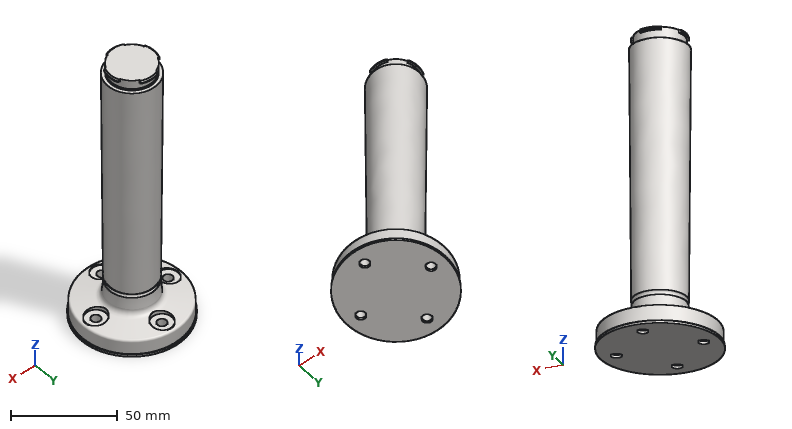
import cadquery as cq
import math

pad_top = 1.5
base_top = 22.0
tube_top = 153.0
overall_height = 159.3

pad_diameter = 61.0

flange_bottom_radius = 60.0 / 2
flange_top_radius = 30.0
flange_corner_radius = 1.3
cone_outer_radius = flange_top_radius - flange_corner_radius
cone_outer_height = 9.9
flange_side_top = cone_outer_height - flange_corner_radius
cone_inner_radius = 17.4
cone_inner_height = 11.5
neck_bottom_radius = 14.2
neck_bottom_height = 15.3
neck_top_radius = 13.5
neck_hollow = 0.08

screw_count = 4
screw_circle_radius = 22.0
screw_hole_diameter = 5.3
counterbore_diameter = 12.1
counterbore_floor = 9.4

tube_bottom_radius = 13.7
tube_top_radius = 14.7
groove_top = 24.4
groove_floor_radius = 12.9
groove_floor_height = 23.0

cap_diameter = 25.3
relief_diameter = 25.0
relief_height = 0.5
collar_height = 0.5
tab_width = 10.4
tab_thickness = 1.6
tab_radius = 27.5 / 2
tab_bevel_width = 0.5
tab_bevel_height = 1.1


def arc_point(start, end, bulge):
    """Midpoint of the chord from start to end, moved by bulge to the left of the chord."""
    run = end[0] - start[0]
    rise = end[1] - start[1]
    length = math.hypot(run, rise)
    middle_x = (start[0] + end[0]) / 2 - bulge * rise / length
    middle_z = (start[1] + end[1]) / 2 + bulge * run / length
    return (middle_x, middle_z)


def quarter_bulge(start, end):
    """Bulge of a quarter-circle arc between two points."""
    chord = math.hypot(end[0] - start[0], end[1] - start[1])
    return chord / 2 * math.tan(math.pi / 8)


def spin(profile):
    """Solid of revolution about Z from a profile of radius and height."""
    return profile.close().revolve(360, (0, 0, 0), (0, 1, 0))


def drill_screws(body, diameter, floor):
    """Cut the ring of round holes upward from the floor height."""
    cutter = (
        cq.Workplane("XY", origin=(0, 0, floor))
        .polarArray(screw_circle_radius, 0, 360, screw_count)
        .circle(diameter / 2)
        .extrude(base_top)
    )
    return body.cut(cutter)


def make_pad():
    disc = cq.Workplane("XY").circle(pad_diameter / 2).extrude(pad_top)
    return drill_screws(disc, screw_hole_diameter, 0)


def make_base():
    side_top = (flange_top_radius, flange_side_top)
    cone_outer = (cone_outer_radius, cone_outer_height)
    cone_inner = (cone_inner_radius, cone_inner_height)
    neck_bottom = (neck_bottom_radius, neck_bottom_height)
    neck_top = (neck_top_radius, base_top)
    corner_bulge = -quarter_bulge(side_top, cone_outer)
    fillet_bulge = quarter_bulge(cone_inner, neck_bottom)
    profile = (
        cq.Workplane("XZ")
        .moveTo(0, pad_top)
        .lineTo(flange_bottom_radius, pad_top)
        .lineTo(*side_top)
        .threePointArc(arc_point(side_top, cone_outer, corner_bulge), cone_outer)
        .lineTo(*cone_inner)
        .threePointArc(arc_point(cone_inner, neck_bottom, fillet_bulge), neck_bottom)
        .threePointArc(arc_point(neck_bottom, neck_top, neck_hollow), neck_top)
        .lineTo(0, base_top)
    )
    body = drill_screws(spin(profile), screw_hole_diameter, 0)
    return drill_screws(body, counterbore_diameter, counterbore_floor)


def make_tube():
    profile = (
        cq.Workplane("XZ")
        .moveTo(0, base_top)
        .lineTo(neck_top_radius, base_top)
        .threePointArc(
            (groove_floor_radius, groove_floor_height),
            (tube_bottom_radius, groove_top),
        )
        .lineTo(tube_top_radius, tube_top)
        .lineTo(0, tube_top)
    )
    return spin(profile)


def make_tabs():
    """Four bevelled tabs: a bevelled disc kept only where two crossing bars meet it."""
    disc = spin(
        cq.Workplane("XZ")
        .moveTo(0, overall_height - tab_thickness)
        .lineTo(tab_radius, overall_height - tab_thickness)
        .lineTo(tab_radius, overall_height - tab_bevel_height)
        .lineTo(tab_radius - tab_bevel_width, overall_height)
        .lineTo(0, overall_height)
    )
    bars = cq.Workplane("XY", origin=(0, 0, tube_top))
    bar_length = 2 * pad_diameter
    cross = bars.rect(bar_length, tab_width).extrude(overall_height)
    cross = cross.union(bars.rect(tab_width, bar_length).extrude(overall_height))
    return disc.intersect(cross)


def make_cap():
    relief_bottom = tube_top + collar_height
    drum = (
        cq.Workplane("XY", origin=(0, 0, tube_top))
        .circle(cap_diameter / 2)
        .extrude(overall_height - tube_top)
    )
    relief = (
        cq.Workplane("XY", origin=(0, 0, relief_bottom))
        .circle(cap_diameter / 2)
        .circle(relief_diameter / 2)
        .extrude(relief_height)
    )
    return drum.cut(relief).union(make_tabs())


pad = make_pad()
base = make_base()
tube = make_tube()
cap = make_cap()

result = cq.Compound.makeCompound([pad.val(), base.val(), tube.val(), cap.val()])